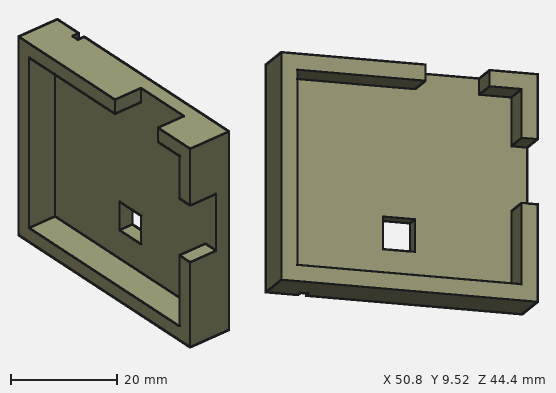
import cadquery as cq

length = 50.8
step = length / 32
height = 28 * step
depth = 6 * step
wall = 2 * step
floor = 2 * step

opening_width = 8 * step
top_opening_left = 18 * step
side_opening_bottom = 12 * step

window_size = 4 * step
window_left = 14 * step
window_bottom = 6 * step

groove_size = step
groove_left = 4 * step

cavity_depth = depth - floor


def block(x, y, z, size_x, size_y, size_z):
    """Box with its minimum corner at (x, y, z)."""
    return cq.Workplane("XY").box(size_x, size_y, size_z, centered=False).translate((x, y, z))


tray = block(0, 0, 0, length, depth, height)
cavity = block(wall, 0, wall, length - 2 * wall, cavity_depth, height - 2 * wall)

top_opening = block(top_opening_left, 0, height - wall, opening_width, cavity_depth, wall)
side_opening = block(length - wall, 0, side_opening_bottom, wall, cavity_depth, opening_width)

window = block(window_left, cavity_depth, window_bottom, window_size, floor, window_size)

groove = block(groove_left, depth - groove_size, 0, groove_size, groove_size, height)

result = tray.cut(cavity).cut(top_opening).cut(side_opening).cut(window).cut(groove)